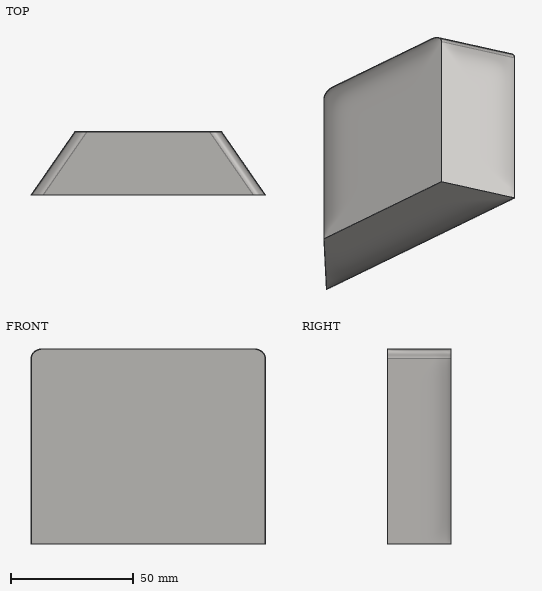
import cadquery as cq

front_width = 96.0
back_width = 60.0
depth = 26.0
height = 80.0
top_edge_radius = 4.0

footprint = [
    (-front_width / 2, -depth / 2),
    (front_width / 2, -depth / 2),
    (back_width / 2, depth / 2),
    (-back_width / 2, depth / 2),
]
block = cq.Workplane("XY").polyline(footprint).close().extrude(height)

slanted_top_edges = block.faces(">Z").edges("<X or >X")
result = slanted_top_edges.fillet(top_edge_radius)